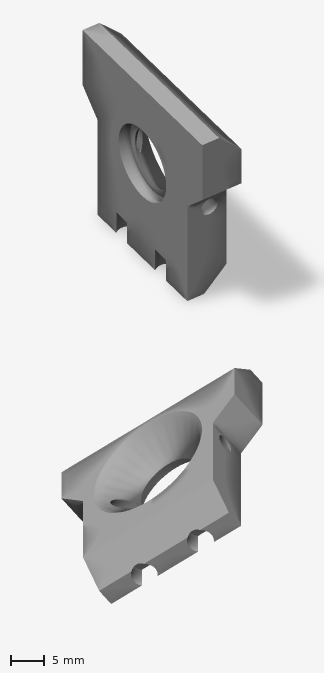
import cadquery as cq
import math

head_width = 32.0
thickness = 7.0
height = 33.0

stem_width = 24.0
bevel = 4.0
head_side_height = 10.63
shoulder_top = height - head_side_height
shoulder_bottom = shoulder_top - (head_width - stem_width) / 2

bore_diameter = 10.0
seat_diameter = 12.7
seat_depth = 2.0
bore_height = 18.35
flare_start = seat_depth
flare_diameter = bore_diameter + 2 * (thickness - flare_start)

cross_hole_diameter = 2.9
cross_hole_y = 3.93
cross_hole_z = 16.5
groove_diameter = 4.0
groove_mouth = 2.9
groove_axis_y = math.sqrt(groove_diameter**2 - groove_mouth**2) / 2
groove_length = 4.0
groove_pitch = 10.4
groove_middle_x = -0.33


def plate():
    """T-shaped plate with its top and bottom rear edges bevelled."""
    half_head = head_width / 2
    half_stem = stem_width / 2
    outline = [
        (-half_stem, 0),
        (half_stem, 0),
        (half_stem, shoulder_bottom),
        (half_head, shoulder_top),
        (half_head, height),
        (-half_head, height),
        (-half_head, shoulder_top),
        (-half_stem, shoulder_bottom),
    ]
    body = cq.Workplane("XZ").polyline(outline).close().extrude(-thickness)
    side_profile = [
        (0, 0),
        (thickness - bevel, 0),
        (thickness, bevel),
        (thickness, height - bevel),
        (thickness - bevel, height),
        (0, height),
    ]
    envelope = cq.Workplane("YZ").polyline(side_profile).close().extrude(half_head, both=True)
    return body.intersect(envelope)


def front_hole(diameter, depth):
    """Cutter for a round hole sunk from the front face at the bore centre."""
    return cq.Workplane("XZ").center(0, bore_height).circle(diameter / 2).extrude(-depth)


def cross_hole():
    """Cutter for the hole that runs across the full width."""
    section = cq.Workplane("YZ").center(cross_hole_y, cross_hole_z).circle(cross_hole_diameter / 2)
    return section.extrude(head_width / 2, both=True)


def rear_flare():
    """Cutter for the cone that widens the bore towards the rear face."""
    profile = [
        (0, flare_start),
        (bore_diameter / 2, flare_start),
        (flare_diameter / 2, thickness),
        (0, thickness),
    ]
    cone = cq.Workplane("XY").polyline(profile).close().revolve(360, (0, 0, 0), (0, 1, 0))
    return cone.translate((0, 0, bore_height))


def groove(x):
    """Cutter for a round groove, wider inside than its mouth on the front face."""
    return cq.Workplane("XY").center(x, groove_axis_y).circle(groove_diameter / 2).extrude(groove_length)


result = plate()
result = result.cut(front_hole(bore_diameter, thickness))
result = result.cut(front_hole(seat_diameter, seat_depth))
result = result.cut(rear_flare())
result = result.cut(cross_hole())
for side in (-1, 1):
    result = result.cut(groove(groove_middle_x + side * groove_pitch / 2))
result = result.translate((0, -thickness / 2, 0))